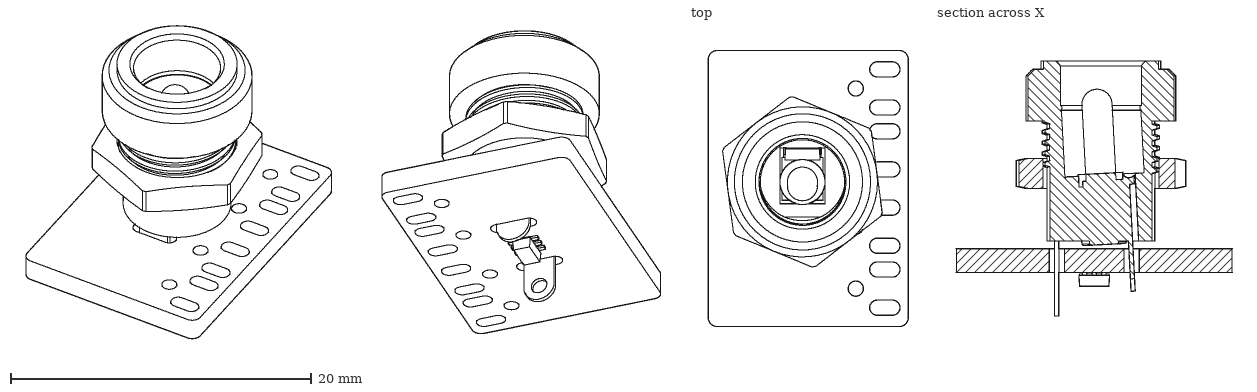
import cadquery as cq
import math


BOARD_WIDTH = 13.35
BOARD_LENGTH = 18.41
BOARD_THICKNESS = 1.6
BOARD_TOP = -0.5
BOARD_BOTTOM = BOARD_TOP - BOARD_THICKNESS
BOARD_CENTER = (0.39, -0.45)
BOARD_CORNER_RADIUS = 0.63
PAD_PAIR_Y = (2.54, 6.66)
PAD_SLOT_X = 5.1
PAD_SLOT_OFFSET = 1.27
PAD_SLOT_LENGTH = 2.0
HOLE_DIAMETER = 1.0
LUG_SLOT_LENGTH = 3.2
LUG_SLOT_OFFSET = 2.49
ROUND_HOLE_X = 3.17

BARREL_DIAMETER = 7.2
FLANGE_DIAMETER = 10.0
FLANGE_BOTTOM = 7.99
FLANGE_TOP = 11.45
FLANGE_CHAMFER = 0.46
LIP_DIAMETER = 8.0
LIP_TOP = 12.0
BORE_DIAMETER = 5.8
MOUTH_DIAMETER = 6.3
MOUTH_CHAMFER_DEPTH = 0.33
BORE_DEPTH = 2.95
BORE_BOTTOM = LIP_TOP - BORE_DEPTH
BEAD_RADIUS = 0.18
BEAD_HEIGHT = 0.1

THREAD_PITCH = 0.72
THREAD_TURNS = 5.5
THREAD_START = 4.57
THREAD_CREST_DIAMETER = 7.82
THREAD_ROOT_WIDTH = 0.46
THREAD_CREST_WIDTH = 0.2
THREAD_SINK = 0.07

LEAN_ANGLE = 3
LEAN_SLOPE = math.tan(math.radians(LEAN_ANGLE))
CONTACT_OFFSET_Y = 0.22
FLOOR_Z = 4.42
CAVITY_DIAMETER = 5.7
FLOOR_SLOPE_Y = -2.58
FLOOR_SLOPE_DEPTH = 0.55
RECESS_WIDTH = 3.0
RECESS_FRONT = -1.47
RECESS_BACK = 2.28
RECESS_DEPTH = 0.74
PLATE_WIDTH = 2.72
PLATE_FRONT = -1.23
PLATE_BACK = 1.6
PLATE_HEIGHT = 0.37
COLLAR_DIAMETER = 3.0
COLLAR_PROUD = 0.1
PIN_DIAMETER = 2.0
PIN_TIP_Z = 10.13
RIVET_HEAD_HEIGHT = 0.24
RIVET_HEAD_CHAMFER = 0.11

LUG_THICKNESS = 0.3
LUG_ROOT = 0.18
FRONT_LUG_WIDTH = 2.15
FRONT_LUG_Y = -2.95
FRONT_LUG_BOTTOM = -5.0
FRONT_LUG_HOLE_DIAMETER = 1.1
REAR_LUG_WIDTH = 2.32
REAR_LUG_Y = 1.75
REAR_LUG_BOTTOM = -3.45
LEAF_BACK = 2.2
LEAF_VALLEY_Y = 1.97
LEAF_VALLEY_DEPTH = 0.28
LEAF_BACK_DROP = 0.15
LEAF_SLOT_WIDTH = 2.5

NUT_BOTTOM = 3.5
NUT_HEIGHT = 2.0
NUT_ACROSS_FLATS = 10.0
NUT_CORNER_DIAMETER = 11.4
NUT_CHAMFER_HEIGHT = 0.15
NUT_TURN = 7.6
NUT_BORE_DIAMETER = 8.0

CHIP_WIDTH = 1.25
CHIP_LENGTH = 2.06
CHIP_END_LENGTH = 1.95
CHIP_BOTTOM = -3.02
CHIP_STANDOFF = 0.1
CHIP_PARTING = 0.2
LEAD_PITCH = 0.65
LEAD_WIDTH = 0.3
LEAD_SPAN = 2.1
LEAD_THICKNESS = 0.15


def block(width, front, back, bottom, top):
    """A box centred on X = 0 between the given Y and Z limits."""
    size_y = back - front
    box = cq.Workplane("XY").box(width, size_y, top - bottom, centered=(True, False, False))
    return box.translate((0, front, bottom))


def cylinder(diameter, bottom, top):
    return cq.Workplane("XY", origin=(0, 0, bottom)).circle(diameter / 2).extrude(top - bottom)


def lean(shape, offset_y):
    """Tip a shape so that its top moves toward -Y, its axis passing Z = 0 at offset_y."""
    return shape.rotate((0, 0, 0), (1, 0, 0), LEAN_ANGLE).translate((0, offset_y, 0))


def lug(width, center_y, bottom, top):
    """An upright strip with a fully rounded lower end."""
    radius = width / 2
    return (
        cq.Workplane("XZ", origin=(0, center_y + LUG_THICKNESS / 2, 0))
        .moveTo(-radius, top)
        .lineTo(-radius, bottom + radius)
        .threePointArc((0, bottom), (radius, bottom + radius))
        .lineTo(radius, top)
        .close()
        .extrude(LUG_THICKNESS)
    )


def make_board():
    board = (
        cq.Workplane("XY", origin=(*BOARD_CENTER, BOARD_BOTTOM))
        .rect(BOARD_WIDTH, BOARD_LENGTH)
        .extrude(BOARD_THICKNESS)
        .edges("|Z")
        .fillet(BOARD_CORNER_RADIUS)
    )
    drill_plane = cq.Workplane("XY", origin=(*BOARD_CENTER, BOARD_BOTTOM))
    pair_centers = [side * y for y in PAD_PAIR_Y for side in (-1, 1)]
    hole_points = [(ROUND_HOLE_X, y) for y in pair_centers]
    slot_points = [(PAD_SLOT_X, y + side * PAD_SLOT_OFFSET) for y in pair_centers for side in (-1, 1)]
    pad_slots = drill_plane.pushPoints(slot_points).slot2D(PAD_SLOT_LENGTH, HOLE_DIAMETER)
    board = board.cut(pad_slots.extrude(BOARD_THICKNESS))
    round_holes = drill_plane.pushPoints(hole_points).circle(HOLE_DIAMETER / 2)
    board = board.cut(round_holes.extrude(BOARD_THICKNESS))
    lug_points = [(-BOARD_CENTER[0], side * LUG_SLOT_OFFSET) for side in (-1, 1)]
    lug_slots = drill_plane.pushPoints(lug_points).slot2D(LUG_SLOT_LENGTH, HOLE_DIAMETER)
    return board.cut(lug_slots.extrude(BOARD_THICKNESS))


def make_thread():
    """One right-handed helical ridge around the barrel."""
    root = BARREL_DIAMETER / 2 - THREAD_SINK
    crest = THREAD_CREST_DIAMETER / 2
    helix = cq.Wire.makeHelix(THREAD_PITCH, THREAD_PITCH * THREAD_TURNS, BARREL_DIAMETER / 2)
    ridge = (
        cq.Workplane("XZ")
        .moveTo(root, -THREAD_ROOT_WIDTH / 2)
        .lineTo(crest, -THREAD_CREST_WIDTH / 2)
        .lineTo(crest, THREAD_CREST_WIDTH / 2)
        .lineTo(root, THREAD_ROOT_WIDTH / 2)
        .close()
        .sweep(cq.Workplane(helix), isFrenet=True)
    )
    return ridge.translate((0, 0, THREAD_START))


def make_shell():
    """Threaded barrel, flange and lip, with the chamfered bore."""
    barrel = cylinder(BARREL_DIAMETER, 0, FLANGE_TOP)
    flange = cylinder(FLANGE_DIAMETER, FLANGE_BOTTOM, FLANGE_TOP).faces(">Z").chamfer(FLANGE_CHAMFER)
    lip = cylinder(LIP_DIAMETER, FLANGE_TOP, LIP_TOP)
    bore = cylinder(BORE_DIAMETER, BORE_BOTTOM, LIP_TOP)
    mouth = cq.Workplane(cq.Solid.makeCone(
        BORE_DIAMETER / 2, MOUTH_DIAMETER / 2, MOUTH_CHAMFER_DEPTH,
        pnt=cq.Vector(0, 0, LIP_TOP - MOUTH_CHAMFER_DEPTH),
    ))
    threaded_barrel = barrel.union(make_thread())
    return threaded_barrel.union(flange).union(lip).cut(bore).cut(mouth)


def make_cavity():
    """The leaning cavity below the bore, with its floor recess and the slot for the leaf."""
    recess_bottom = FLOOR_Z - RECESS_DEPTH
    floor_radius = CAVITY_DIAMETER / 2
    cavity = cylinder(CAVITY_DIAMETER, FLOOR_Z, BORE_BOTTOM)
    floor_slope = (
        cq.Workplane("YZ")
        .moveTo(FLOOR_SLOPE_Y, FLOOR_Z)
        .lineTo(-floor_radius, FLOOR_Z - FLOOR_SLOPE_DEPTH)
        .lineTo(-floor_radius, FLOOR_Z + 0.18)
        .lineTo(FLOOR_SLOPE_Y, FLOOR_Z + 0.18)
        .close()
        .extrude(floor_radius, both=True)
        .intersect(cylinder(CAVITY_DIAMETER, 0, LIP_TOP))
    )
    cavity = lean(cavity.union(floor_slope), LEAN_SLOPE * BORE_BOTTOM)
    mouth = cylinder(BORE_DIAMETER, BORE_BOTTOM - 2 * BEAD_RADIUS, BORE_BOTTOM)
    recess = block(RECESS_WIDTH, RECESS_FRONT, RECESS_BACK, recess_bottom, FLOOR_Z + 0.18)
    leaf_slot = block(LEAF_SLOT_WIDTH, PLATE_BACK, RECESS_BACK, -LUG_ROOT, FLOOR_Z)
    return cavity.union(mouth).union(lean(recess.union(leaf_slot), CONTACT_OFFSET_Y))


def make_contacts():
    """The leaning contact plate, collar, pin, rivet head, rear lug and leaf."""
    recess_bottom = FLOOR_Z - RECESS_DEPTH
    plate = block(PLATE_WIDTH, PLATE_FRONT, PLATE_BACK, recess_bottom, recess_bottom + PLATE_HEIGHT)
    collar = cylinder(COLLAR_DIAMETER, recess_bottom, FLOOR_Z + COLLAR_PROUD)
    pin = cylinder(PIN_DIAMETER, FLOOR_Z, PIN_TIP_Z).faces(">Z").edges().fillet(PIN_DIAMETER / 2 - 0.002)
    rivet = cylinder(COLLAR_DIAMETER, -RIVET_HEAD_HEIGHT, LUG_ROOT)
    rivet = rivet.faces("<Z").chamfer(RIVET_HEAD_CHAMFER)
    rear_lug = lug(REAR_LUG_WIDTH, REAR_LUG_Y, REAR_LUG_BOTTOM, recess_bottom + PLATE_HEIGHT)
    leaf_front = PLATE_BACK - LUG_THICKNESS / 2
    leaf = (
        cq.Workplane("YZ")
        .moveTo(leaf_front, recess_bottom)
        .lineTo(LEAF_BACK, recess_bottom)
        .lineTo(LEAF_BACK, FLOOR_Z - LEAF_BACK_DROP)
        .threePointArc((LEAF_VALLEY_Y, FLOOR_Z - LEAF_VALLEY_DEPTH), (leaf_front, FLOOR_Z))
        .close()
        .extrude(REAR_LUG_WIDTH / 2, both=True)
    )
    contacts = plate.union(collar).union(pin).union(rivet).union(rear_lug).union(leaf)
    return lean(contacts, CONTACT_OFFSET_Y)


def make_front_lug():
    strip = lug(FRONT_LUG_WIDTH, FRONT_LUG_Y, FRONT_LUG_BOTTOM, LUG_ROOT)
    hole_z = FRONT_LUG_BOTTOM + FRONT_LUG_WIDTH / 2
    hole = (
        cq.Workplane("XZ", origin=(0, FRONT_LUG_Y, hole_z))
        .circle(FRONT_LUG_HOLE_DIAMETER / 2)
        .extrude(LUG_THICKNESS, both=True)
    )
    return strip.cut(hole)


def make_jack():
    bead = cq.Workplane(cq.Solid.makeTorus(
        BORE_DIAMETER / 2 + BEAD_RADIUS - BEAD_HEIGHT, BEAD_RADIUS,
        cq.Vector(0, 0, BORE_BOTTOM - BEAD_RADIUS),
    ))
    shell = make_shell().cut(make_cavity()).union(bead)
    return shell.union(make_contacts()).union(make_front_lug())


def make_nut():
    """Hexagonal nut with trimmed corners and both ends chamfered down to the flats."""
    flat_radius = NUT_ACROSS_FLATS / 2
    corner_radius = NUT_CORNER_DIAMETER / 2
    hexagon = (
        cq.Workplane("XY")
        .polygon(6, NUT_ACROSS_FLATS, circumscribed=True)
        .circle(NUT_BORE_DIAMETER / 2)
        .extrude(NUT_HEIGHT)
    )
    envelope = (
        cq.Workplane("XY")
        .circle(corner_radius)
        .extrude(NUT_HEIGHT)
        .edges()
        .chamfer(NUT_CHAMFER_HEIGHT, corner_radius - flat_radius)
    )
    nut = hexagon.intersect(envelope)
    return nut.rotate((0, 0, 0), (0, 0, 1), NUT_TURN).translate((0, 0, NUT_BOTTOM))


def make_chip():
    """Drafted package hanging under the board on two rows of three leads."""
    draft = (CHIP_LENGTH - CHIP_END_LENGTH) / 2
    parting_z = BOARD_BOTTOM - CHIP_PARTING
    standoff_z = BOARD_BOTTOM - CHIP_STANDOFF

    def half(end_z):
        return (
            cq.Workplane("XY", origin=(0, BOARD_CENTER[1], parting_z))
            .rect(CHIP_WIDTH, CHIP_LENGTH)
            .workplane(offset=end_z - parting_z)
            .rect(CHIP_WIDTH - 2 * draft, CHIP_END_LENGTH)
            .loft(ruled=True)
        )

    chip = half(CHIP_BOTTOM).union(half(standoff_z))
    for row in (-1, 0, 1):
        center_y = BOARD_CENTER[1] + row * LEAD_PITCH
        lead = block(
            LEAD_SPAN, center_y - LEAD_WIDTH / 2, center_y + LEAD_WIDTH / 2,
            BOARD_BOTTOM - LEAD_THICKNESS, BOARD_BOTTOM,
        )
        chip = chip.union(lead)
    return chip


board = make_board()
jack = make_jack()
nut = make_nut()
chip = make_chip()

result = cq.Compound.makeCompound([body.solids().val() for body in (board, jack, nut, chip)])